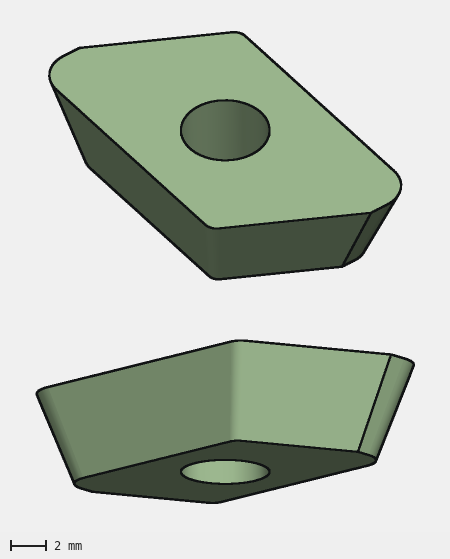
import cadquery as cq
import math

length = 20.8
width = 11.2
thickness = 5.4
bottom_scale = 0.8
nose_radius = 2.0
heel_radius = 0.8
end_flat_height = 2.48
heel_x = 6.07
hole_diameter = 5.0

half_length = length / 2
half_width = width / 2


def half_outline():
    """Return the points of the lower half turn: nose arc, long edge, heel arc."""
    slant = math.atan2(half_width + end_flat_height, half_length - heel_x)
    heel_setback = heel_radius * math.tan(slant / 2)
    heel_start_x = heel_x - heel_setback
    nose_center = (-half_length + nose_radius, -half_width + nose_radius)
    heel_center_y = -half_width + heel_radius
    nose_start = (-half_length, nose_center[1])
    nose_middle = (
        nose_center[0] - nose_radius * math.cos(math.pi / 4),
        nose_center[1] - nose_radius * math.sin(math.pi / 4),
    )
    nose_end = (nose_center[0], -half_width)
    heel_start = (heel_start_x, -half_width)
    heel_middle = (
        heel_start_x + heel_radius * math.sin(slant / 2),
        heel_center_y - heel_radius * math.cos(slant / 2),
    )
    heel_end = (
        heel_start_x + heel_radius * math.sin(slant),
        heel_center_y - heel_radius * math.cos(slant),
    )
    slant_end = (half_length, end_flat_height)
    return nose_start, nose_middle, nose_end, heel_start, heel_middle, heel_end, slant_end


def add_outline(plane, scale):
    """Draw the outline, unchanged by a half turn about Z, at the given scale."""
    start = (-half_length * scale, -end_flat_height * scale)
    sketch = plane.moveTo(*start)
    for turn in (1, -1):
        points = [(turn * scale * x, turn * scale * y) for x, y in half_outline()]
        nose_start, nose_middle, nose_end, heel_start, heel_middle, heel_end, slant_end = points
        sketch = (
            sketch.lineTo(*nose_start)
            .threePointArc(nose_middle, nose_end)
            .lineTo(*heel_start)
            .threePointArc(heel_middle, heel_end)
            .lineTo(*slant_end)
        )
    return sketch.close()


bottom = add_outline(cq.Workplane("XY"), bottom_scale)
body = add_outline(bottom.workplane(offset=thickness), 1.0).loft(ruled=True, combine=True)

hole = cq.Workplane("XY").circle(hole_diameter / 2).extrude(thickness)
result = body.cut(hole)